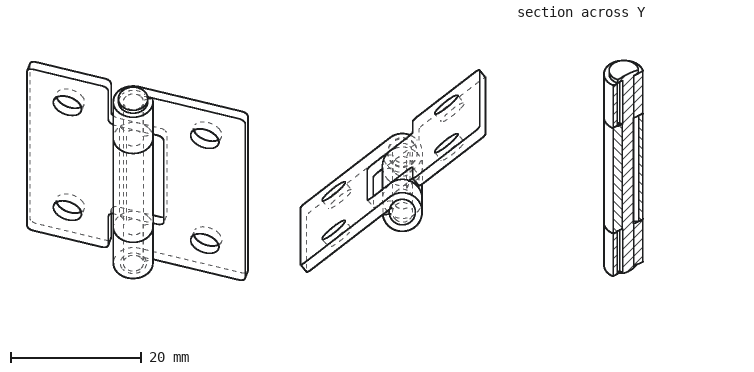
import cadquery as cq
import math


hinge_width = 35.0
leaf_height = 40.0
sheet = 1.5
corner_radius = 1.0

knuckle_radius = 3.05
bore_radius = knuckle_radius - sheet
end_knuckle_height = 9.0
middle_knuckle_height = leaf_height - 2 * end_knuckle_height
knuckle_clearance = 1.4
notch_depth_x = knuckle_radius + knuckle_clearance

hole_diameter = 4.5
hole_x = 11.0
hole_spacing_z = 26.0

head_radius = 2.25
head_height = 1.0
head_rim_height = 0.7
tail_radius = 2.0
pin_length = 41.8
tail_height = pin_length - leaf_height - head_height

roll_end_gap = 0.05
roll_end_angle = math.asin((bore_radius - roll_end_gap) / knuckle_radius)
roll_middle_angle = (roll_end_angle - 1.5 * math.pi) / 2


def polar(radius, angle):
    return (radius * math.cos(angle), radius * math.sin(angle))


def rolled_section(height):
    """Sheet tangent to the back of its roll, centred on Z, reaching toward +X."""
    return (
        cq.Workplane("XY")
        .workplane(offset=-height / 2)
        .moveTo(hinge_width / 2, knuckle_radius)
        .lineTo(0, knuckle_radius)
        .threePointArc(
            polar(knuckle_radius, roll_middle_angle),
            polar(knuckle_radius, roll_end_angle),
        )
        .lineTo(*polar(bore_radius, roll_end_angle))
        .threePointArc(
            polar(bore_radius, roll_middle_angle),
            (0, bore_radius),
        )
        .lineTo(hinge_width / 2, bore_radius)
        .close()
        .extrude(height)
    )


def notch_block(height, center_z):
    """Block that clears the sheet and roll beside a knuckle of the other leaf."""
    return cq.Workplane("XY").box(
        2 * notch_depth_x, 4 * knuckle_radius, height
    ).translate((0, 0, center_z))


def round_corners(leaf, x, half_height):
    """Round the two sheet corners at the given X and plus or minus half_height."""
    margin = corner_radius / 2
    for z in (-half_height, half_height):
        corner = cq.selectors.BoxSelector(
            (x - margin, 0, z - margin),
            (x + margin, 2 * knuckle_radius, z + margin),
        )
        leaf = leaf.edges("|Y").edges(corner).fillet(corner_radius)
    return leaf


def drill_screw_holes(leaf):
    drills = (
        cq.Workplane("XZ")
        .pushPoints([(hole_x, -hole_spacing_z / 2), (hole_x, hole_spacing_z / 2)])
        .circle(hole_diameter / 2)
        .extrude(2 * knuckle_radius, both=True)
    )
    return leaf.cut(drills)


def make_outer_leaf():
    """Leaf toward +X, carrying the two end knuckles."""
    leaf = rolled_section(leaf_height).cut(notch_block(middle_knuckle_height, 0))
    leaf = round_corners(leaf, hinge_width / 2, leaf_height / 2)
    leaf = round_corners(leaf, notch_depth_x, middle_knuckle_height / 2)
    return drill_screw_holes(leaf)


def make_inner_leaf():
    """Leaf toward -X, carrying the middle knuckle; shaped on +X, then mirrored."""
    leaf = rolled_section(leaf_height)
    end_center_z = (leaf_height - end_knuckle_height) / 2
    for z in (-end_center_z, end_center_z):
        leaf = leaf.cut(notch_block(end_knuckle_height, z))
    leaf = round_corners(leaf, hinge_width / 2, leaf_height / 2)
    leaf = round_corners(leaf, notch_depth_x, leaf_height / 2)
    leaf = round_corners(leaf, notch_depth_x, middle_knuckle_height / 2)
    return drill_screw_holes(leaf).mirror("YZ")


def dome_midpoint(base_radius, rise):
    """Radius and height above the base of the point halfway along a dome's arc."""
    sphere_radius = (base_radius**2 + rise**2) / (2 * rise)
    half_angle = math.asin(base_radius / sphere_radius) / 2
    return (
        sphere_radius * math.sin(half_angle),
        rise - sphere_radius * (1 - math.cos(half_angle)),
    )


def make_pin():
    """Pin with a low domed head on a straight rim and a domed riveted tail."""
    top = leaf_height / 2
    bottom = -top
    rim_top = top + head_rim_height
    head_mid_r, head_mid_rise = dome_midpoint(head_radius, head_height - head_rim_height)
    tail_mid_r, tail_mid_rise = dome_midpoint(tail_radius, tail_height)
    return (
        cq.Workplane("XZ")
        .moveTo(0, bottom - tail_height)
        .threePointArc((tail_mid_r, bottom - tail_mid_rise), (tail_radius, bottom))
        .lineTo(bore_radius, bottom)
        .lineTo(bore_radius, top)
        .lineTo(head_radius, top)
        .lineTo(head_radius, rim_top)
        .threePointArc((head_mid_r, rim_top + head_mid_rise), (0, top + head_height))
        .close()
        .revolve(360, (0, 0, 0), (0, 1, 0))
    )


outer_leaf = make_outer_leaf()
inner_leaf = make_inner_leaf()
pin = make_pin()

result = cq.Compound.makeCompound([outer_leaf.val(), inner_leaf.val(), pin.val()])